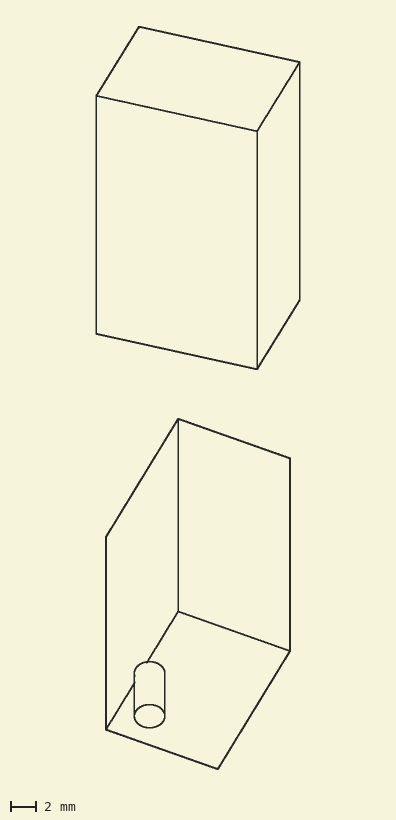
import cadquery as cq

total_height = 27.95
total_depth = 10.05
block_width = 13.2
block_depth = 9.5
pin_length = 5.1
pin_diameter = 2.35

block_height = total_height - pin_length
pin_overhang = total_depth - block_depth
pin_center_y = block_depth / 2 + pin_overhang - pin_diameter / 2


def make_block():
    """Plain rectangular block standing on the XY plane."""
    return cq.Workplane("XY").box(
        block_width, block_depth, block_height, centered=(True, True, False)
    )


def make_pin():
    """Round pin hanging below the block and overhanging its +Y face."""
    return (
        cq.Workplane("XY")
        .center(0, pin_center_y)
        .circle(pin_diameter / 2)
        .extrude(-pin_length)
    )


block = make_block()
pin = make_pin()

result = cq.Compound.makeCompound([block.val(), pin.val()])